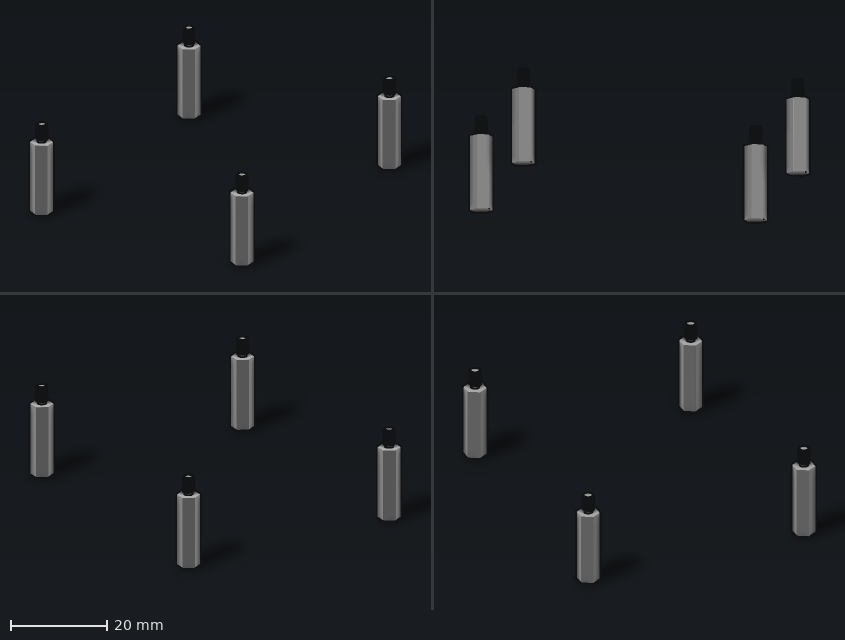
import cadquery as cq
import math

LENGTH_X = 53.5
LENGTH_Y = 63.2
SPACING_Y = 58.0

HEX_HEIGHT = 16.0
EDGE_RADIUS = 0.05
COS_30 = math.cos(math.radians(30))
ROUNDED_ACROSS_CORNERS = LENGTH_Y - SPACING_Y
ACROSS_CORNERS = ROUNDED_ACROSS_CORNERS + 2 * EDGE_RADIUS * (1 / COS_30 - 1)
ACROSS_FLATS = ACROSS_CORNERS * COS_30
SPACING_X = LENGTH_X - ACROSS_FLATS

STUD_HEIGHT = 4.0
STUD_DIAMETER = 2.45
ROOT_DIAMETER = 1.9
NECK_DIAMETER = 1.8
NECK_HEIGHT = 0.65
TIP_CHAMFER = 0.25
THREAD_PITCH = 0.45
CREST_WIDTH = 0.05
ROOT_WIDTH = 0.05

STUD_RADIUS = STUD_DIAMETER / 2
ROOT_RADIUS = ROOT_DIAMETER / 2
NECK_RADIUS = NECK_DIAMETER / 2
STUD_TOP = HEX_HEIGHT + STUD_HEIGHT
THREAD_START = HEX_HEIGHT + NECK_HEIGHT


def make_spacer():
    """Hexagonal prism with two of its corners along Y and every edge rounded."""
    spacer = cq.Workplane("XY").polygon(6, ACROSS_CORNERS).extrude(HEX_HEIGHT).edges().fillet(EDGE_RADIUS)
    return spacer.rotate((0, 0, 0), (0, 0, 1), 90)


def make_stud_blank():
    """Turned stud before threading: a thin neck, then a cylinder with a chamfered tip."""
    return (
        cq.Workplane("XZ")
        .moveTo(0, HEX_HEIGHT)
        .lineTo(NECK_RADIUS, HEX_HEIGHT)
        .lineTo(NECK_RADIUS, THREAD_START)
        .lineTo(STUD_RADIUS, THREAD_START)
        .lineTo(STUD_RADIUS, STUD_TOP - TIP_CHAMFER)
        .lineTo(STUD_RADIUS - TIP_CHAMFER, STUD_TOP)
        .lineTo(0, STUD_TOP)
        .close()
        .revolve(360, (0, 0, 0), (0, 1, 0))
    )


def make_thread_groove():
    """Right-hand helical groove that starts half a pitch below the thread and runs out past the tip."""
    inner_half = ROOT_WIDTH / 2
    crest_half = (THREAD_PITCH - CREST_WIDTH) / 2
    flank_slope = (crest_half - inner_half) / (STUD_RADIUS - ROOT_RADIUS)
    outer_radius = STUD_RADIUS + CREST_WIDTH / 2
    outer_half = inner_half + flank_slope * (outer_radius - ROOT_RADIUS)
    groove_start = THREAD_START - THREAD_PITCH / 2
    length = STUD_TOP + THREAD_PITCH - groove_start
    helix = cq.Wire.makeHelix(THREAD_PITCH, length, ROOT_RADIUS)
    groove = (
        cq.Workplane("XZ")
        .moveTo(ROOT_RADIUS, -inner_half)
        .lineTo(outer_radius, -outer_half)
        .lineTo(outer_radius, outer_half)
        .lineTo(ROOT_RADIUS, inner_half)
        .close()
        .sweep(cq.Workplane(helix), isFrenet=True)
    )
    return groove.translate((0, 0, groove_start))


def make_standoff():
    """Spacer and threaded stud in one piece, standing on the origin."""
    stud = make_stud_blank().cut(make_thread_groove())
    return make_spacer().union(stud)


standoff = make_standoff().solids().val()
standoffs = [
    standoff.translate(cq.Vector(x, y, 0))
    for x in (-SPACING_X / 2, SPACING_X / 2)
    for y in (-SPACING_Y / 2, SPACING_Y / 2)
]

result = cq.Compound.makeCompound(standoffs)